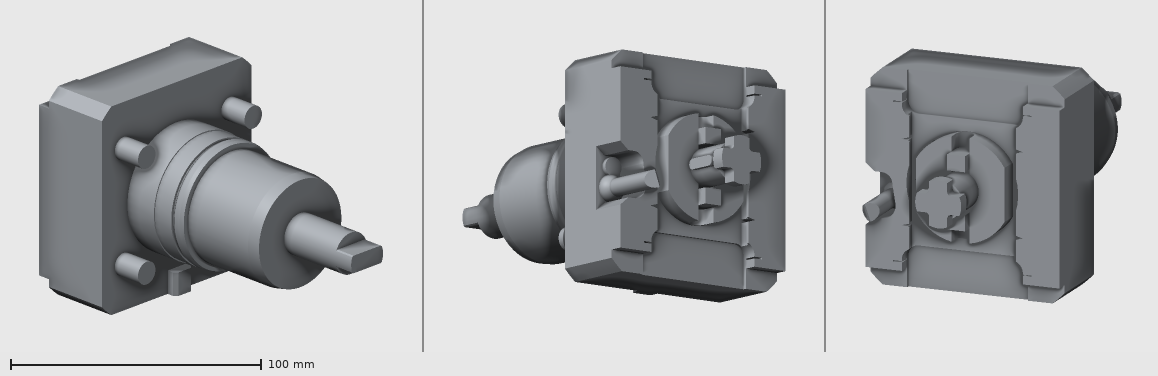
import cadquery as cq
import math

SIGNS = (-1, 1)

total_length = 169.0

plate_width = 84.0
plate_height = 90.0
plate_corner_radius = 58.1
rail_front = 25.0
pad_front = 30.6
pocket_floor = 32.0
plate_back = 60.8
rail_height = 73.7

recess_half_width = 23.2
undercut_half_width = 24.0
lip_thickness = 1.2
end_pocket_half_width = 26.2
pad_half_height = 27.2
pocket_corner_radius = 5.0
bulge_radius = 24.2
slit_height = 33.1
slit_thickness = 0.7
slit_length = 3.7
nick_height = 17.9
nick_width = 1.9
nick_depth = 3.4

flange_front = 23.0
flange_radius = 22.1
flange_gap = 0.3
flange_half_width = 19.1
slot_width = 7.8
slot_depth = 8.3
driver_front = 18.5
driver_inner = 9.0
driver_outer = 15.5

cross_radius = 10.0
cross_thickness = 5.7
cross_arm_width = 7.8
cross_fillet = 1.7
spindle_radius = 8.0
key_start = 7.1
key_end = 21.6
key_width = 4.4
key_top = 9.6

collar_radius = 27.7
collar_end = 75.9
seat_radius = 27.2
groove_start = 85.2
groove_width = 0.7
groove_depth = 1.0
ring_shoulder_radius = 1.9
ring_taper_start = 89.9
ring_taper_drop = 0.5
barrel_start = 91.8
barrel_radius = 24.2
barrel_taper_start = 125.7
barrel_end = 131.0
barrel_end_radius = 23.2

shaft_radius = 9.0
tang_start = 159.9
tang_thickness = 7.6
tang_bevel = 0.5

head_radius = 4.9
head_length = 13.2
head_y = 29.9
head_z = 25.0

foot_width = 10.1
foot_height = 10.1
foot_length = 4.5
foot_chamfer = 1.5

nozzle_y = 34.8
nozzle_z = -10.0
nozzle_radius = 3.7
nozzle_front = 10.3
nozzle_tip_length = 3.7
nozzle_tip_turn = -20.0
ball_radius = 5.7
notch_floor = 40.5
clamp_z = -1.4
clamp_radius = 4.0
clamp_front = 38.5
clamp_overhang = 0.5
notch_clearance = 0.5
notch_flat_y = 37.9
notch_flare = 3.4


def box_between(x_start, x_end, y_start, y_end, z_start, z_end):
    """Box given by its limits along each axis."""
    box = cq.Workplane("XY").box(x_end - x_start, y_end - y_start, z_end - z_start, centered=False)
    return box.translate((x_start, y_start, z_start))


def rod(x_start, x_end, radius, y=0.0, z=0.0):
    """Cylinder parallel to X."""
    return cq.Workplane("YZ", origin=(x_start, y, z)).circle(radius).extrude(x_end - x_start)


def prism(x_start, x_end, points):
    """Prism along X with a polygon of (y, z) points."""
    return cq.Workplane("YZ", origin=(x_start, 0, 0)).polyline(points).close().extrude(x_end - x_start)


def make_plate():
    """Plate with arc-cut corners and a raised full-width front band."""
    half_width = plate_width / 2
    band = box_between(
        rail_front, pad_front, -half_width, half_width, -rail_height / 2, rail_height / 2
    )
    main = box_between(
        pad_front, plate_back, -half_width, half_width, -plate_height / 2, plate_height / 2
    )
    return band.union(main).intersect(rod(rail_front, plate_back, plate_corner_radius))


def make_recess():
    """Space between the rails: undercut channel, two deeper end pockets, and reliefs in the walls."""
    reach = plate_height / 2
    lip_back = rail_front + lip_thickness
    recess = box_between(
        rail_front, lip_back, -recess_half_width, recess_half_width, -reach, reach
    )
    recess = recess.union(
        box_between(lip_back, pad_front, -undercut_half_width, undercut_half_width, -reach, reach)
    )
    recess = recess.union(rod(rail_front, pad_front, bulge_radius))
    recess = recess.union(rod(flange_front, pocket_floor, flange_radius + flange_gap))

    end_pocket = box_between(
        rail_front, pocket_floor, -end_pocket_half_width, end_pocket_half_width,
        pad_half_height, reach + pocket_corner_radius
    ).edges("|X and <Z").fillet(pocket_corner_radius)
    slit_half_width = end_pocket_half_width + slit_length
    slits = box_between(
        rail_front, pad_front, -slit_half_width, slit_half_width,
        slit_height - slit_thickness / 2, slit_height + slit_thickness / 2
    )
    nick_tip = recess_half_width + nick_depth
    nicks = prism(rail_front, pad_front, [
        (0, nick_height - nick_width / 2),
        (recess_half_width, nick_height - nick_width / 2),
        (nick_tip, nick_height),
        (recess_half_width, nick_height + nick_width / 2),
        (0, nick_height + nick_width / 2),
    ])
    nicks = nicks.union(nicks.mirror("XZ"))
    upper_half = end_pocket.union(slits).union(nicks)
    return recess.union(upper_half).union(upper_half.mirror("XY"))


def make_side_notch():
    """Notch open to the +Y side that follows the clamping screw and the nozzle ball."""
    top_radius = clamp_radius + notch_clearance
    bottom_radius = ball_radius + notch_clearance / 2
    top = clamp_z + top_radius
    bottom = nozzle_z - bottom_radius
    side = plate_width / 2
    outline = (
        cq.Workplane("YZ", origin=(rail_front, 0, 0))
        .moveTo(side, top + notch_flare)
        .lineTo(notch_flat_y, top)
        .lineTo(nozzle_y, top)
        .radiusArc((nozzle_y - top_radius, clamp_z), -top_radius)
        .lineTo(nozzle_y - bottom_radius, nozzle_z)
        .radiusArc((nozzle_y, bottom), -bottom_radius)
        .lineTo(notch_flat_y, bottom)
        .lineTo(side, bottom - notch_flare)
        .close()
    )
    return outline.extrude(notch_floor - rail_front)


def make_nozzle():
    """Ball with a coolant pin whose tip is ground to a turned wedge, plus the clamping screw."""
    tip_back = nozzle_front + nozzle_tip_length
    wedge = (
        cq.Workplane("XY", origin=(0, 0, -nozzle_radius))
        .moveTo(nozzle_front, 0)
        .lineTo(tip_back, nozzle_radius)
        .lineTo(notch_floor, nozzle_radius)
        .lineTo(notch_floor, -nozzle_radius)
        .lineTo(tip_back, -nozzle_radius)
        .close()
        .extrude(2 * nozzle_radius)
        .rotate((0, 0, 0), (1, 0, 0), nozzle_tip_turn)
    )
    pin = rod(nozzle_front, notch_floor, nozzle_radius).intersect(wedge)
    pin = pin.translate((0, nozzle_y, nozzle_z))
    ball = cq.Workplane("XY").sphere(ball_radius).translate((notch_floor, nozzle_y, nozzle_z))
    clamp = rod(clamp_front, plate_back + clamp_overhang, clamp_radius, nozzle_y, clamp_z)
    return pin.union(ball).union(clamp)


def make_flange():
    """Flange with two flats and a round-bottomed cross slot that holds two driver blocks."""
    flange = rod(flange_front, plate_back, flange_radius)
    flats = box_between(
        flange_front, pocket_floor, -flange_half_width, flange_half_width,
        -flange_radius, flange_radius
    )
    flange = flange.intersect(flats.union(rod(pocket_floor, plate_back, flange_radius)))

    slot_radius = slot_width / 2
    slot_bottom_center = flange_front + slot_depth - slot_radius
    slot = box_between(
        flange_front, slot_bottom_center, -slot_radius, slot_radius, -flange_radius, flange_radius
    )
    slot_bottom = (
        cq.Workplane("XY", origin=(slot_bottom_center, 0, -flange_radius))
        .circle(slot_radius)
        .extrude(2 * flange_radius)
    )
    flange = flange.cut(slot).cut(slot_bottom)

    driver = box_between(
        driver_front, flange_front + slot_depth, -slot_radius, slot_radius, driver_inner, driver_outer
    )
    return flange.union(driver).union(driver.mirror("XY"))


def make_spindle_nose():
    """Drive cross, its spindle and the feather key on the +Y side."""
    arm_half = cross_arm_width / 2
    cross = box_between(0, cross_thickness, -cross_radius, cross_radius, -arm_half, arm_half)
    cross = cross.union(cross.rotate((0, 0, 0), (1, 0, 0), 90))
    center_half = (arm_half + cross_radius) / 2
    inner_corners = cq.selectors.BoxSelector(
        (0, -center_half, -center_half), (cross_thickness, center_half, center_half)
    )
    cross = cross.edges("|X").edges(inner_corners).fillet(cross_fillet)
    cross = cross.intersect(rod(0, cross_thickness, cross_radius))

    spindle = rod(cross_thickness, flange_front + slot_depth, spindle_radius)
    key = (
        cq.Workplane("XZ", origin=((key_start + key_end) / 2, 0, 0))
        .slot2D(key_end - key_start, key_width)
        .extrude(-key_top)
    )
    return cross.union(spindle).union(key)


def make_shank():
    """Turned shank: collar, seat, seal groove, ring and tapered barrel."""
    groove_end = groove_start + groove_width
    groove_radius = seat_radius - groove_depth
    shoulder_drop = ring_shoulder_radius * (1 - math.sqrt(0.5))
    profile = (
        cq.Workplane("XY")
        .moveTo(plate_back, 0)
        .lineTo(plate_back, collar_radius)
        .lineTo(collar_end, collar_radius)
        .lineTo(collar_end, seat_radius)
        .lineTo(groove_start, seat_radius)
        .lineTo(groove_start, groove_radius)
        .lineTo(groove_end, groove_radius)
        .lineTo(groove_end, seat_radius - ring_shoulder_radius)
        .threePointArc(
            (groove_end + shoulder_drop, seat_radius - shoulder_drop),
            (groove_end + ring_shoulder_radius, seat_radius),
        )
        .lineTo(ring_taper_start, seat_radius)
        .lineTo(barrel_start, seat_radius - ring_taper_drop)
        .lineTo(barrel_start, barrel_radius)
        .lineTo(barrel_taper_start, barrel_radius)
        .lineTo(barrel_end, barrel_end_radius)
        .lineTo(barrel_end, 0)
        .close()
    )
    return profile.revolve(360, (0, 0, 0), (1, 0, 0))


def make_rear_shaft():
    """Shaft that ends in a flat tang with bevelled long edges."""
    shaft = rod(plate_back, tang_start, shaft_radius)
    tang = box_between(
        tang_start, total_length, -shaft_radius, shaft_radius, -tang_thickness / 2, tang_thickness / 2
    ).intersect(rod(tang_start, total_length, shaft_radius))
    tang = tang.edges("|X").chamfer(tang_bevel)
    return shaft.union(tang)


def make_screw_heads():
    """Four cap screw heads around the collar."""
    heads = cq.Workplane("XY")
    for y_sign in SIGNS:
        for z_sign in SIGNS:
            head = rod(plate_back, plate_back + head_length, head_radius, y_sign * head_y, z_sign * head_z)
            heads = heads.union(head)
    return heads


def make_foot():
    """Block flush with the plate's lower side, bevelled on its two end edges."""
    bottom = -plate_height / 2
    foot = box_between(
        plate_back, plate_back + foot_length, -foot_width / 2, foot_width / 2, bottom, bottom + foot_height
    )
    return foot.edges("|Z and >X").chamfer(foot_chamfer)


result = (
    make_plate()
    .cut(make_recess())
    .cut(make_side_notch())
    .union(make_flange())
    .union(make_nozzle())
    .union(make_spindle_nose())
    .union(make_shank())
    .union(make_rear_shaft())
    .union(make_screw_heads())
    .union(make_foot())
)